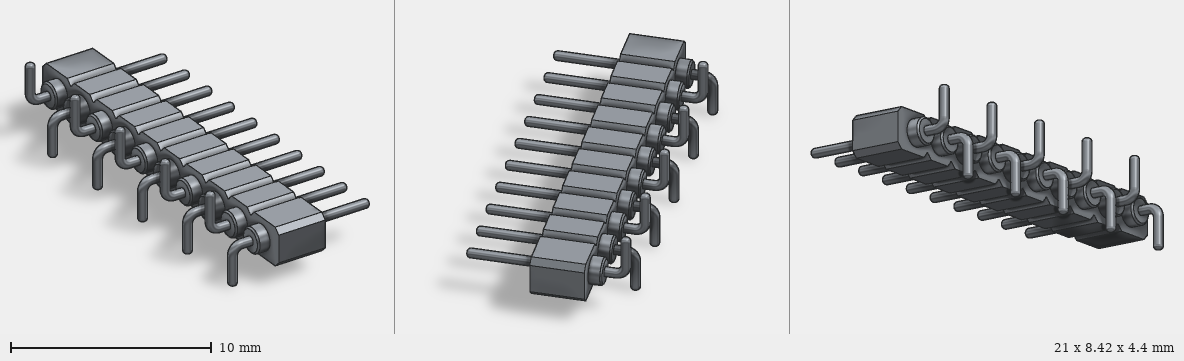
import cadquery as cq

LENGTH = 21.0
PIN_COUNT = 10
END_MARGIN_PITCHES = 0.75

HOUSING_HEIGHT = 2.2
HOUSING_DEPTH = 2.8
NOTCH = 0.32

COLLAR_DIAMETER = 1.45
COLLAR_LENGTH = 0.7
COLLAR_BEVEL = 0.095

PIN_DIAMETER = 0.5
TAIL_LENGTH = 3.6
LEG_REACH = 2.02
LEG_SPAN = 4.4
TIP_ROUNDING = 0.2

PITCH = LENGTH / (PIN_COUNT - 1 + 2 * END_MARGIN_PITCHES)
FRONT_Y = -HOUSING_DEPTH / 2
BACK_Y = HOUSING_DEPTH / 2
PIN_RADIUS = PIN_DIAMETER / 2
BEND_RADIUS = PIN_DIAMETER
LEG_Y = FRONT_Y - LEG_REACH + PIN_RADIUS
LEG_HEIGHT = LEG_SPAN / 2
PIN_POSITIONS = [(i - (PIN_COUNT - 1) / 2) * PITCH for i in range(PIN_COUNT)]


def make_housing():
    """Bar with bevelled long end edges and V notches midway between pins."""
    housing = (
        cq.Workplane("XY")
        .box(LENGTH, HOUSING_DEPTH, HOUSING_HEIGHT)
        .edges("|Y")
        .chamfer(NOTCH)
    )
    half_height = HOUSING_HEIGHT / 2
    for left_pin_x in PIN_POSITIONS[:-1]:
        x = left_pin_x + PITCH / 2
        for side in (1, -1):
            notch = (
                cq.Workplane("XZ", origin=(x, BACK_Y, 0))
                .moveTo(-NOTCH, side * half_height)
                .lineTo(0, side * (half_height - NOTCH))
                .lineTo(NOTCH, side * half_height)
                .close()
                .extrude(HOUSING_DEPTH)
            )
            housing = housing.cut(notch)
    return housing


def make_collar():
    """Round collar on the housing front, bevelled at its outer rim."""
    return (
        cq.Workplane("XZ", origin=(0, FRONT_Y, 0))
        .circle(COLLAR_DIAMETER / 2)
        .extrude(COLLAR_LENGTH)
        .faces("<Y")
        .edges()
        .chamfer(COLLAR_BEVEL)
    )


def make_pin():
    """Round wire along Y that bends upward in front, with rounded tips."""
    tail_y = BACK_Y + TAIL_LENGTH
    path = (
        cq.Workplane("YZ")
        .moveTo(tail_y, 0)
        .lineTo(LEG_Y + BEND_RADIUS, 0)
        .tangentArcPoint((LEG_Y, BEND_RADIUS), relative=False)
        .lineTo(LEG_Y, LEG_HEIGHT)
    )
    wire = cq.Workplane("XZ", origin=(0, tail_y, 0)).circle(PIN_RADIUS).sweep(path)
    for tip in (">Y", ">Z"):
        wire = wire.faces(tip).edges().fillet(TIP_ROUNDING)
    return wire


up_contact = make_collar().union(make_pin())
down_contact = up_contact.mirror("XY")

result = make_housing()
for index, pin_x in enumerate(PIN_POSITIONS):
    contact = up_contact if index % 2 == 0 else down_contact
    result = result.union(contact.translate((pin_x, 0, 0)))